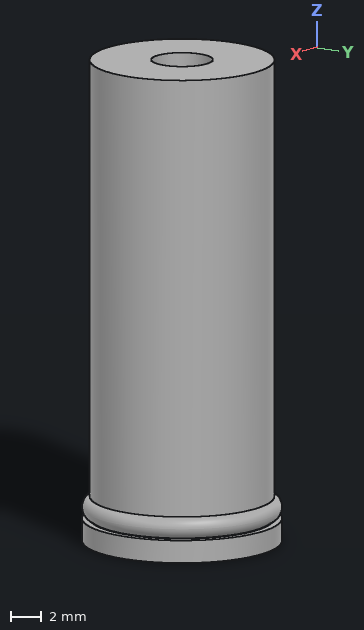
import cadquery as cq

length = 32.0
body_diameter = 12.0
collar_diameter = 13.0
bore_diameter = 4.0
collar_height = 1.5
bead_height = 1.5

bead_radius = bead_height / 2
bead_center_radius = collar_diameter / 2 - bead_radius
bead_center_height = collar_height + bead_radius


def disc(diameter, height):
    """Upright cylinder on the Z axis, standing on the base plane."""
    return cq.Workplane("XY").circle(diameter / 2).extrude(height)


body = disc(body_diameter, length)
collar = disc(collar_diameter, collar_height)

bead = (
    cq.Workplane("XZ")
    .center(bead_center_radius, bead_center_height)
    .circle(bead_radius)
    .revolve(360, (-bead_center_radius, 0), (-bead_center_radius, 1))
)

bore = disc(bore_diameter, length)

result = body.union(collar).union(bead).cut(bore)